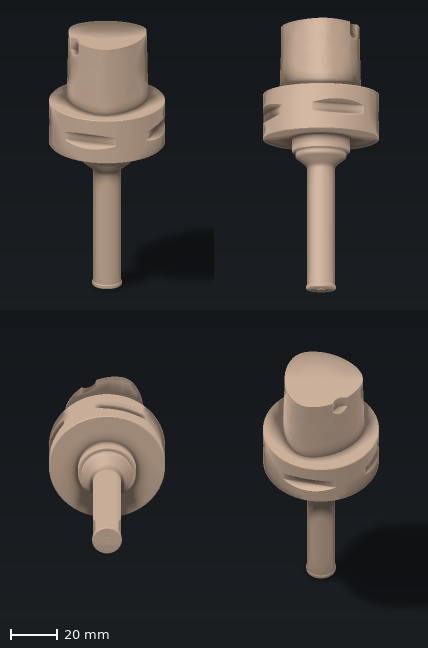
import cadquery as cq
import math


TAPER_TOP = 30.0
COLLAR_HEIGHT = 3.0
POLYGON_WIDTH = 35.0
LOBE_HEIGHT = 1.2
TAPER_RATIO = 1 / 20
LOBES = 3
OUTLINE_POINTS = 36

NOTCH_RADIUS = 5.0
NOTCH_AXIS_Y = -18.8
NOTCH_WALL_DEPTH = 5.3

FLANGE_DIAMETER = 50.0
FLANGE_BOTTOM = -20.0
FLANGE_CHAMFER = 0.3
BOSS_DIAMETER = 25.0
BOSS_BOTTOM = -25.5
BOSS_CHAMFER = 0.3

GROOVE_COUNT = 4
GROOVE_FIRST_ANGLE = 45
GROOVE_Z = -10.1
GROOVE_FLOOR_DISTANCE = 22.0
GROOVE_FLOOR_HEIGHT = 2.9
GROOVE_EDGE_DEPTH = 0.1
GROOVE_EDGE_WIDTH = 0.3
GROOVE_MOUTH_HEIGHT = 7.1

SHOULDER_DIAMETER = 22.0
SHOULDER_ROUND = 1.7
CONE_ANGLE = 50
NECK_FILLET = 2.4
SHANK_DIAMETER = 12.2
SHANK_TOP = -33.0
RIM_DIAMETER = 12.8
RIM_TAPER_TOP = -83.8
RIM_TOP = -84.2
RIM_CHAMFER = 0.3
RIM_BOTTOM = -85.7
TIP_DIAMETER = 3.8
BOTTOM = -86.0


def polygon_point(angle, width):
    """Point of the lobed outline whose normal has this angle; one lobe points to +Y."""
    phase = LOBES * (angle - math.pi / 2)
    reach = width / 2 + LOBE_HEIGHT * math.cos(phase)
    slope = -LOBES * LOBE_HEIGHT * math.sin(phase)
    x = reach * math.cos(angle) - slope * math.sin(angle)
    y = reach * math.sin(angle) + slope * math.cos(angle)
    return x, y


def polygon_wire(width, z):
    points = []
    for i in range(OUTLINE_POINTS):
        x, y = polygon_point(2 * math.pi * i / OUTLINE_POINTS, width)
        points.append(cq.Vector(x, y, z))
    edge = cq.Edge.makeSpline(points, periodic=True)
    return cq.Wire.assembleEdges([edge])


def polygon_taper():
    top_width = POLYGON_WIDTH - TAPER_RATIO * (TAPER_TOP - COLLAR_HEIGHT)
    base = polygon_wire(POLYGON_WIDTH, 0)
    collar_top = polygon_wire(POLYGON_WIDTH, COLLAR_HEIGHT)
    top = polygon_wire(top_width, TAPER_TOP)
    collar = cq.Workplane(cq.Solid.makeLoft([base, collar_top], True))
    taper = cq.Workplane(cq.Solid.makeLoft([collar_top, top], True))
    return collar.union(taper)


def notch_cutter():
    """Cylinder with a 45 degree conical end."""
    cone_base = TAPER_TOP - NOTCH_WALL_DEPTH
    profile = (
        cq.Workplane("XZ", origin=(0, NOTCH_AXIS_Y, 0))
        .moveTo(0, cone_base - NOTCH_RADIUS)
        .lineTo(NOTCH_RADIUS, cone_base)
        .lineTo(NOTCH_RADIUS, TAPER_TOP)
        .lineTo(0, TAPER_TOP)
        .close()
    )
    return profile.revolve(360, (0, 0, 0), (0, 1, 0))


def groove_cutter(angle):
    """Straight groove across the flange rim, flaring outwards from its flat floor."""
    floor = GROOVE_FLOOR_DISTANCE
    knee = floor + GROOVE_EDGE_DEPTH
    mouth = FLANGE_DIAMETER / 2
    half_floor = GROOVE_FLOOR_HEIGHT / 2
    half_knee = half_floor + GROOVE_EDGE_WIDTH
    half_mouth = GROOVE_MOUTH_HEIGHT / 2
    profile = (
        cq.Workplane("XZ")
        .moveTo(floor, half_floor)
        .lineTo(knee, half_knee)
        .lineTo(mouth, half_mouth)
        .lineTo(mouth, -half_mouth)
        .lineTo(knee, -half_knee)
        .lineTo(floor, -half_floor)
        .close()
    )
    cutter = profile.extrude(FLANGE_DIAMETER / 2, both=True)
    return cutter.translate((0, 0, GROOVE_Z)).rotate((0, 0, 0), (0, 0, 1), angle)


def make_holder():
    flange = (
        cq.Workplane("XY", origin=(0, 0, FLANGE_BOTTOM))
        .circle(FLANGE_DIAMETER / 2)
        .extrude(-FLANGE_BOTTOM)
        .edges()
        .chamfer(FLANGE_CHAMFER)
    )
    for i in range(GROOVE_COUNT):
        flange = flange.cut(groove_cutter(GROOVE_FIRST_ANGLE + i * 360 / GROOVE_COUNT))
    boss = (
        cq.Workplane("XY", origin=(0, 0, BOSS_BOTTOM))
        .circle(BOSS_DIAMETER / 2)
        .extrude(FLANGE_BOTTOM - BOSS_BOTTOM)
        .faces("<Z")
        .edges()
        .chamfer(BOSS_CHAMFER)
    )
    return flange.union(boss).union(polygon_taper().cut(notch_cutter()))


def make_arbor():
    """Turned arbor that butts against the boss of the holder."""
    shoulder_radius = SHOULDER_DIAMETER / 2
    shank_radius = SHANK_DIAMETER / 2
    rim_radius = RIM_DIAMETER / 2
    angle = math.radians(CONE_ANGLE)

    cone_top_radius = shoulder_radius - SHOULDER_ROUND * (1 - math.cos(angle))
    cone_end_radius = shank_radius + NECK_FILLET * (1 - math.cos(angle))
    cone_end_z = SHANK_TOP + NECK_FILLET * math.sin(angle)
    cone_top_z = cone_end_z + (cone_top_radius - cone_end_radius) / math.tan(angle)
    round_top_z = cone_top_z + SHOULDER_ROUND * math.sin(angle)

    profile = (
        cq.Workplane("XZ")
        .moveTo(0, BOSS_BOTTOM)
        .lineTo(shoulder_radius, BOSS_BOTTOM)
        .lineTo(shoulder_radius, round_top_z)
        .tangentArcPoint((cone_top_radius, cone_top_z), relative=False)
        .lineTo(cone_end_radius, cone_end_z)
        .tangentArcPoint((shank_radius, SHANK_TOP), relative=False)
        .lineTo(shank_radius, RIM_TAPER_TOP)
        .lineTo(rim_radius, RIM_TOP)
        .lineTo(rim_radius, RIM_BOTTOM + RIM_CHAMFER)
        .lineTo(rim_radius - RIM_CHAMFER, RIM_BOTTOM)
        .lineTo(TIP_DIAMETER / 2, RIM_BOTTOM)
        .lineTo(TIP_DIAMETER / 2, BOTTOM)
        .lineTo(0, BOTTOM)
        .close()
    )
    return profile.revolve(360, (0, 0, 0), (0, 1, 0))


holder = make_holder()
arbor = make_arbor()

result = cq.Compound.makeCompound([holder.val(), arbor.val()])